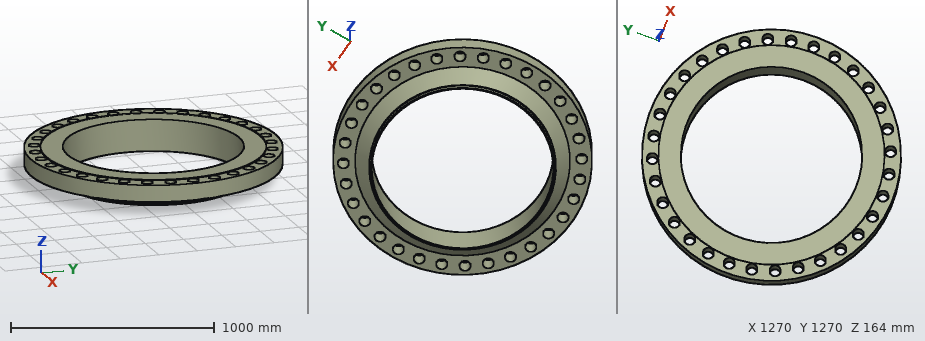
import cadquery as cq

flange_diameter = 1270.0
total_height = 164.0
bore_diameter = 889.0

face_diameter = 1109.0
face_height = 4.0

plate_thickness = 85.0

hub_base_diameter = 1054.0
neck_diameter = 917.0
neck_height = 15.0
bevel_height = 8.0
bevel_width = 8.0

bolt_count = 32
bolt_circle_diameter = 1168.0
bolt_hole_diameter = 55.0

face_level = total_height
plate_top = face_level - face_height
plate_bottom = plate_top - plate_thickness


def flange_body():
    """Revolve the half section of the flange about the Z axis."""
    bore_radius = bore_diameter / 2
    neck_radius = neck_diameter / 2
    flange_radius = flange_diameter / 2
    face_radius = face_diameter / 2
    section = [
        (bore_radius, 0),
        (neck_radius - bevel_width, 0),
        (neck_radius, bevel_height),
        (neck_radius, neck_height),
        (hub_base_diameter / 2, plate_bottom),
        (flange_radius, plate_bottom),
        (flange_radius, plate_top),
        (face_radius, plate_top),
        (face_radius, face_level),
        (bore_radius, face_level),
    ]
    return cq.Workplane("XZ").polyline(section).close().revolve(360, (0, 0), (0, 1))


def bolt_holes():
    """Cutters for the ring of bolt holes, the first one on the +X axis."""
    return (
        cq.Workplane("XY")
        .polarArray(bolt_circle_diameter / 2, 0, 360, bolt_count)
        .circle(bolt_hole_diameter / 2)
        .extrude(total_height)
    )


result = flange_body().cut(bolt_holes())